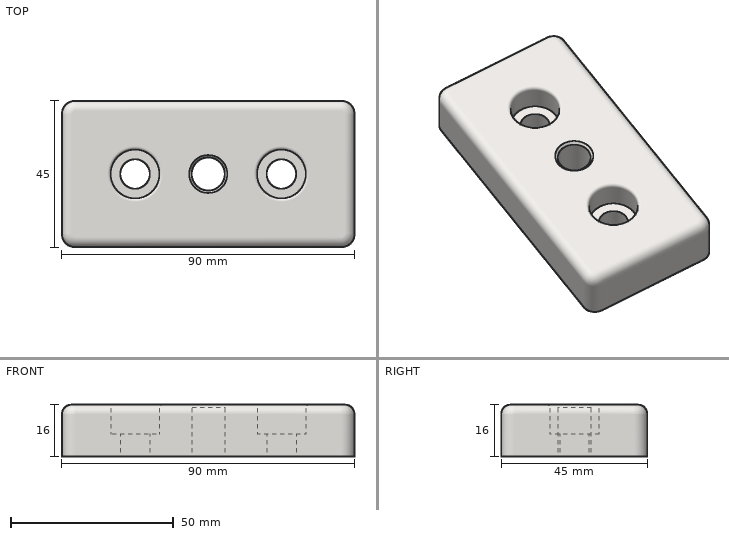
import cadquery as cq

length = 90.0
width = 45.0
height = 16.0
corner_radius = 4.0
top_edge_radius = 3.0

mount_spacing = length / 2
mount_hole_diameter = 9.0
counterbore_diameter = 15.0
counterbore_depth = 9.0
counterbore_mouth_radius = 1.0

centre_hole_diameter = 10.106
centre_hole_chamfer = 0.8


def rounded_block():
    """Block standing on Z = 0 with rounded upright corners and top edges."""
    block = cq.Workplane("XY").box(length, width, height, centered=(True, True, False))
    block = block.edges("|Z").fillet(corner_radius)
    return block.faces(">Z").edges().fillet(top_edge_radius)


def drill(block, x, diameter, depth):
    """Cut a round hole down from the top face at the given X."""
    top = cq.Workplane("XY", origin=(x, 0, height))
    return block.cut(top.circle(diameter / 2).extrude(-depth))


def mouth_edge(block, x, diameter):
    """Select the top edge of the hole of the given diameter centred at x."""
    radius = diameter / 2
    around_mouth = cq.selectors.BoxSelector(
        (x - radius, -radius, 0),
        (x + radius, radius, 2 * height),
    )
    return block.faces(">Z").edges("%CIRCLE").edges(around_mouth)


def add_mount_hole(block, x):
    """Cut a counterbored through hole at x and round its mouth."""
    block = drill(block, x, mount_hole_diameter, height)
    block = drill(block, x, counterbore_diameter, counterbore_depth)
    return mouth_edge(block, x, counterbore_diameter).fillet(counterbore_mouth_radius)


def add_centre_hole(block):
    """Cut the plain through hole at the centre and chamfer its mouth."""
    block = drill(block, 0, centre_hole_diameter, height)
    return mouth_edge(block, 0, centre_hole_diameter).chamfer(centre_hole_chamfer)


result = rounded_block()
for side in (-1, 1):
    result = add_mount_hole(result, side * mount_spacing / 2)
result = add_centre_hole(result)